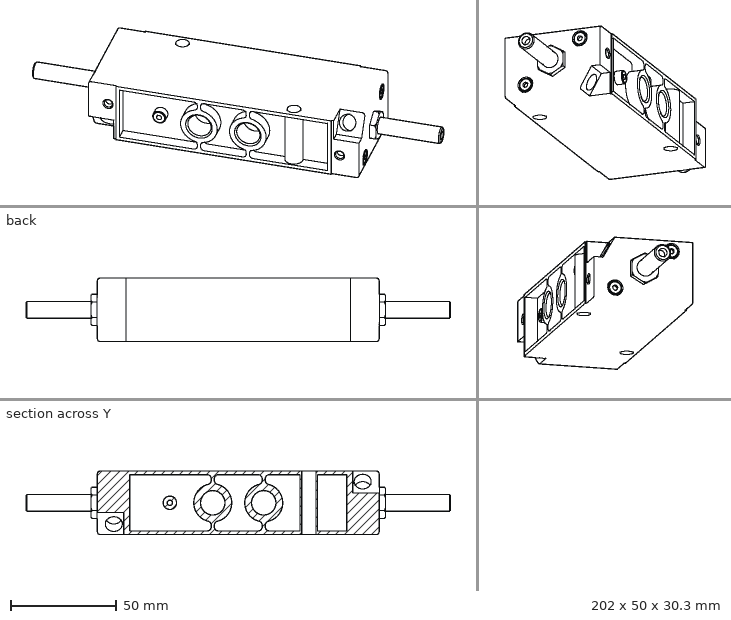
import cadquery as cq
import math

overall_length = 202.0

body_length = 106.7
body_width = 50.0
height = 30.3
front_y = -body_width / 2

mount_hole_diameter = 6.5
mount_hole_x = 33.5
mount_hole_y = 20.0
mount_boss_diameter = 8.7

pocket_depth = 6.0
rim = 1.8
pocket_floor_y = front_y + pocket_depth

port_pitch = 24.2
port_xs = (-port_pitch / 2, port_pitch / 2)
ring_diameter = 18.2
port_diameter = 11.5
port_mouth_chamfer = 0.8
port_depth = 12.1
rib_width = 1.6
rib_fillet = 1.8

tube_x = -32.5
tube_diameter = 6.5
tube_length = 4.0
tube_chamfer = 0.5
tube_bore_diameter = 2.5
tube_bore_depth = 4.0

cap_length = 13.7
cap_width = 48.9
cap_fillet = 1.5
cap_end = body_length / 2 + cap_length

notch_length = 12.5
notch_height = 10.5
notch_ledge_y = -20.0
notch_tilt = 30.0
notch_bottom_y = notch_ledge_y + notch_height * math.tan(math.radians(notch_tilt))
cable_hole_diameter = 8.0
cable_hole_inset = 7.9
cable_hole_drop = 5.5
cable_hole_depth = 7.0

pilot_diameter = 4.0
pilot_inset = 9.7
pilot_z = 4.0
pilot_depth = 3.0
pilot_mouth_diameter = 5.0

screw_y = 14.0
screw_z = 9.9
screw_recess_diameter = 7.5
screw_recess_depth = 2.0
screw_head_diameter = 6.5
screw_head_chamfer = 0.5
screw_socket_diameter = 2.5
screw_socket_depth = 1.6

nut_across_flats = 13.0
nut_thickness = 3.0
nut_chamfer = 0.6

rod_diameter = 8.0
rod_length = overall_length / 2 - cap_end
rod_bore_diameter = 4.0
rod_bore_depth = 4.0
rod_tip_chamfer = 0.6
drill_point_angle = 118.0


def along_y(diameter, x, z, start_y, length):
    """Cylinder running in +Y from start_y."""
    plane = cq.Plane(origin=(x, start_y, z), xDir=(1, 0, 0), normal=(0, 1, 0))
    return cq.Workplane(plane).circle(diameter / 2).extrude(length)


def along_x(diameter, y, z, start_x, length):
    """Cylinder running in +X from start_x."""
    return cq.Workplane("YZ", origin=(start_x, y, z)).circle(diameter / 2).extrude(length)


def cone(base_diameter, tip_diameter, length, base, direction):
    """Cone or frustum from its base center along a direction."""
    start = cq.Vector(*base)
    axis = cq.Vector(*direction)
    return cq.Workplane(cq.Solid.makeCone(base_diameter / 2, tip_diameter / 2, length, start, axis))


def drill_point_length(diameter):
    """Length of the conical end left by a drill."""
    return diameter / 2 / math.tan(math.radians(drill_point_angle / 2))


def make_pocket():
    """Recess volume of the front face, with rings, ribs and hole boss left standing."""
    pocket = (
        cq.Workplane("XY")
        .box(body_length - 2 * rim, pocket_depth, height - 2 * rim)
        .translate((0, front_y + pocket_depth / 2, 0))
    )
    for x in port_xs:
        rib = cq.Workplane("XY").box(rib_width, pocket_depth, height)
        pocket = pocket.cut(rib.translate((x, front_y + pocket_depth / 2, 0)))
        pocket = pocket.cut(along_y(ring_diameter, x, 0, front_y, pocket_depth))

    for x in port_xs:
        near_rib = cq.selectors.BoxSelector(
            (x - rib_width, front_y, -height), (x + rib_width, pocket_floor_y, height)
        )
        pocket = pocket.edges("|Y").edges(near_rib).fillet(rib_fillet)

    boss = (
        cq.Workplane("XY", origin=(mount_hole_x, -mount_hole_y, -height / 2))
        .circle(mount_boss_diameter / 2)
        .extrude(height)
    )
    return pocket.cut(boss)


def make_body():
    """Body block with its front pocket, ports, tube and mounting holes."""
    body = cq.Workplane("XY").box(body_length, body_width, height).cut(make_pocket())

    mouth_diameter = port_diameter + 2 * port_mouth_chamfer
    for x in port_xs:
        body = body.cut(along_y(port_diameter, x, 0, front_y, port_depth))
        body = body.cut(
            cone(mouth_diameter, port_diameter, port_mouth_chamfer, (x, front_y, 0), (0, 1, 0))
        )

    tube_front_y = pocket_floor_y - tube_length
    tube = along_y(tube_diameter, tube_x, 0, tube_front_y, tube_length)
    body = body.union(tube.faces("<Y").chamfer(tube_chamfer))
    body = body.cut(along_y(tube_bore_diameter, tube_x, 0, tube_front_y, tube_bore_depth))

    mount_holes = (
        cq.Workplane("XY", origin=(0, 0, -height / 2))
        .pushPoints([(-mount_hole_x, mount_hole_y), (mount_hole_x, -mount_hole_y)])
        .circle(mount_hole_diameter / 2)
        .extrude(height)
    )
    return body.cut(mount_holes)


def make_notch():
    """Notch of the left cap, together with the hole square to its slanted face."""
    bottom = -height / 2
    notch = (
        cq.Workplane("YZ", origin=(-cap_end, 0, 0))
        .moveTo(notch_bottom_y, bottom)
        .lineTo(notch_ledge_y, bottom + notch_height)
        .lineTo(front_y, bottom + notch_height)
        .lineTo(front_y, bottom)
        .close()
        .extrude(notch_length)
    )
    tilt = math.radians(notch_tilt)
    hole_center = (
        -cap_end + cable_hole_inset,
        notch_ledge_y + cable_hole_drop * math.tan(tilt),
        bottom + notch_height - cable_hole_drop,
    )
    hole_plane = cq.Plane(origin=hole_center, xDir=(1, 0, 0), normal=(0, math.cos(tilt), math.sin(tilt)))
    hole = cq.Workplane(hole_plane).circle(cable_hole_diameter / 2).extrude(cable_hole_depth)
    return notch.union(hole)


def make_pilot_hole():
    """Drilled hole of the left cap, with a conical mouth and a drill point."""
    x = -cap_end + pilot_inset
    face_y = -cap_width / 2
    lead_in = (pilot_mouth_diameter - pilot_diameter) / 2
    hole = along_y(pilot_diameter, x, pilot_z, face_y, pilot_depth)
    mouth = cone(pilot_mouth_diameter, pilot_diameter, lead_in, (x, face_y, pilot_z), (0, 1, 0))
    point_base = (x, face_y + pilot_depth, pilot_z)
    point = cone(pilot_diameter, 0, drill_point_length(pilot_diameter), point_base, (0, 1, 0))
    return hole.union(mouth).union(point)


def make_left_cap():
    """Left cap with rounded end edges, notch, drilled hole and two screws."""
    cap = (
        cq.Workplane("XY")
        .box(cap_length, cap_width, height)
        .translate((-cap_end + cap_length / 2, 0, 0))
        .edges("<X and |Y")
        .fillet(cap_fillet)
    )
    cap = cap.cut(make_notch()).cut(make_pilot_hole())
    for side in (-1, 1):
        y = side * screw_y
        z = -side * screw_z
        cap = cap.cut(along_x(screw_recess_diameter, y, z, -cap_end, screw_recess_depth))
        head = along_x(screw_head_diameter, y, z, -cap_end, screw_recess_depth)
        cap = cap.union(head.faces("<X").chamfer(screw_head_chamfer))
        cap = cap.cut(along_x(screw_socket_diameter, y, z, -cap_end, screw_socket_depth))
    return cap


def make_left_nut():
    """Hexagon with flats facing +Y and -Y, its outer corners turned down by a cone."""
    across_corners = nut_across_flats / math.cos(math.pi / 6)
    nut = (
        cq.Workplane("YZ", origin=(-cap_end - nut_thickness, 0, 0))
        .polygon(6, across_corners)
        .extrude(nut_thickness)
        .rotate((0, 0, 0), (1, 0, 0), 90)
    )
    turned_blank = along_x(across_corners, 0, 0, -cap_end - nut_thickness, nut_thickness)
    return nut.intersect(turned_blank.faces("<X").chamfer(nut_chamfer))


def make_left_rod():
    """Rod with a chamfered tip and a drilled blind hole in its end."""
    end_x = -overall_length / 2
    rod = along_x(rod_diameter, 0, 0, end_x, rod_length).faces("<X").chamfer(rod_tip_chamfer)
    rod = rod.cut(along_x(rod_bore_diameter, 0, 0, end_x, rod_bore_depth))
    point_length = drill_point_length(rod_bore_diameter)
    return rod.cut(cone(rod_bore_diameter, 0, point_length, (end_x + rod_bore_depth, 0, 0), (1, 0, 0)))


left_end = make_left_cap().union(make_left_nut()).union(make_left_rod())
right_end = left_end.rotate((0, 0, 0), (0, 1, 0), 180)

result = make_body().union(left_end).union(right_end)